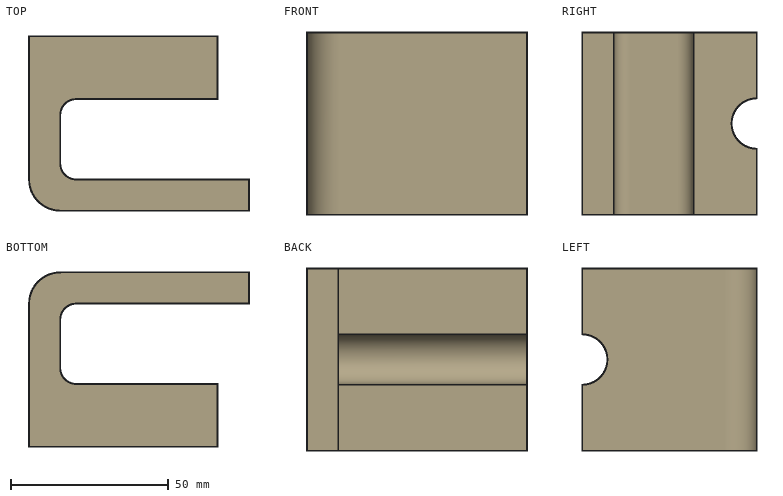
import cadquery as cq

length = 70.0
depth = 55.5
height = 58.0

wall = 10.0
back_arm_thickness = 2 * wall
back_arm_length = length - wall
outer_radius = wall
inner_radius = wall / 2

groove_radius = 8.0

slot_back = depth - back_arm_thickness


def make_bracket():
    """Extruded U profile with a shorter, thicker back arm."""
    profile = [
        (0, 0),
        (length, 0),
        (length, wall),
        (wall, wall),
        (wall, slot_back),
        (back_arm_length, slot_back),
        (back_arm_length, depth),
        (0, depth),
    ]
    return cq.Workplane("XY").polyline(profile).close().extrude(height)


def round_corners(body):
    """Round the outer front corner and both inner slot corners."""
    mid_height = height / 2
    outer_edge = cq.selectors.NearestToPointSelector((0, 0, mid_height))
    body = body.edges(outer_edge).fillet(outer_radius)
    for corner_y in (wall, slot_back):
        inner_edge = cq.selectors.NearestToPointSelector((wall, corner_y, mid_height))
        body = body.edges(inner_edge).fillet(inner_radius)
    return body


def make_groove():
    """Cylinder centred on the back face at mid height, running the full length of the arm."""
    return (
        cq.Workplane("YZ")
        .center(depth, height / 2)
        .circle(groove_radius)
        .extrude(back_arm_length)
    )


result = round_corners(make_bracket()).cut(make_groove())